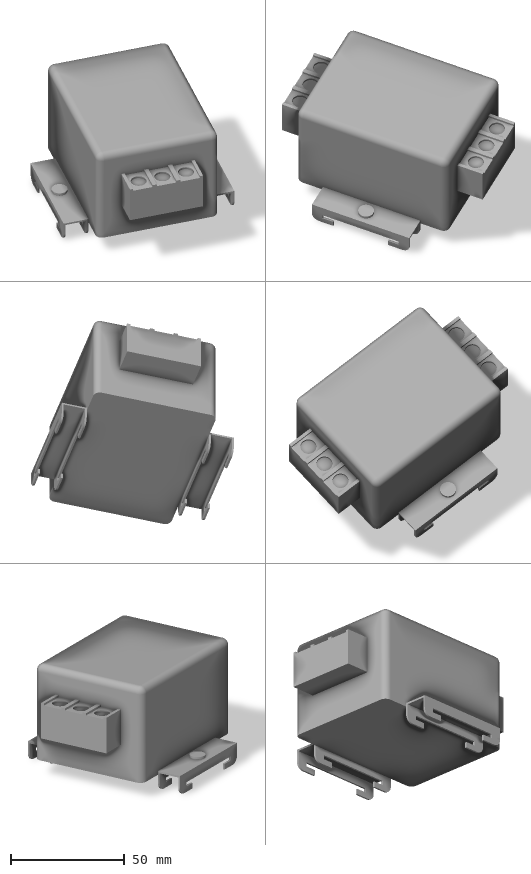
import cadquery as cq

housing_length = 73.1
housing_width = 56.1
housing_height = 44.9
housing_radius = 3.0

overall_length = 97.5
overall_width = 79.0
overall_height = 52.5

terminal_width = 33.8
terminal_height = 16.8
terminal_base = 16.2
terminal_count = 3
bay_depth = 1.0
end_rib = 1.5
middle_rib = 1.95
screw_diameter = 7.0
screw_recess = 1.0

bracket_length = 47.3
bracket_thickness = 0.9
bracket_top = 1.8
bracket_radius = 3.5
slot_length = 36.8
web_height = 4.7
lip_height = 2.6
lip_gap = 26.6
button_diameter = screw_diameter
button_height = 1.3

terminal_length = (overall_length - housing_length) / 2
bracket_width = (overall_width - housing_width) / 2
bracket_bottom = housing_height - overall_height
bracket_height = bracket_top - bracket_bottom


def make_housing():
    """Block with rounded vertical edges and a rounded top rim."""
    block = cq.Workplane("XY").box(
        housing_length, housing_width, housing_height, centered=(True, True, False)
    )
    return block.edges("|Z or >Z").fillet(housing_radius)


def make_terminal():
    """Terminal block on the +X end, with ribs between the screw bays."""
    center_x = (housing_length + terminal_length) / 2
    terminal_top = terminal_base + terminal_height
    bay_floor = terminal_top - bay_depth
    rib_total = 2 * end_rib + (terminal_count - 1) * middle_rib
    bay_width = (terminal_width - rib_total) / terminal_count
    bay_pitch = bay_width + middle_rib

    terminal = cq.Workplane("XY", origin=(center_x, 0, terminal_base)).box(
        terminal_length, terminal_width, terminal_height, centered=(True, True, False)
    )
    for index in range(terminal_count):
        bay_y = (index - (terminal_count - 1) / 2) * bay_pitch
        floor_plane = cq.Workplane("XY", origin=(center_x, bay_y, bay_floor))
        bay = floor_plane.rect(terminal_length, bay_width).extrude(bay_depth)
        recess = floor_plane.circle(screw_diameter / 2).extrude(-screw_recess)
        terminal = terminal.cut(bay).cut(recess)
    return terminal


def make_bracket():
    """Channel bracket on the +Y side: two hooked legs under a top plate, with a button."""
    inner_y = housing_width / 2
    center_y = inner_y + bracket_width / 2
    slot_height = bracket_height - web_height - lip_height

    bracket = cq.Workplane("XY", origin=(0, center_y, bracket_bottom)).box(
        bracket_length, bracket_width, bracket_height, centered=(True, True, False)
    )
    bracket = bracket.edges("|Y and <Z").fillet(bracket_radius)

    channel = cq.Workplane("XY", origin=(0, center_y, bracket_bottom)).box(
        bracket_length,
        bracket_width - 2 * bracket_thickness,
        bracket_height - bracket_thickness,
        centered=(True, True, False),
    )
    slot = cq.Workplane("XY", origin=(0, center_y, bracket_bottom + lip_height)).box(
        slot_length, bracket_width, slot_height, centered=(True, True, False)
    )
    opening = cq.Workplane("XY", origin=(0, center_y, bracket_bottom)).box(
        lip_gap, bracket_width, lip_height, centered=(True, True, False)
    )
    button = (
        cq.Workplane("XY", origin=(0, center_y, bracket_top))
        .circle(button_diameter / 2)
        .extrude(button_height)
    )
    return bracket.cut(channel).cut(slot).cut(opening).union(button)


terminal = make_terminal()
bracket = make_bracket()

result = (
    make_housing()
    .union(terminal)
    .union(terminal.mirror("YZ"))
    .union(bracket)
    .union(bracket.mirror("XZ"))
)